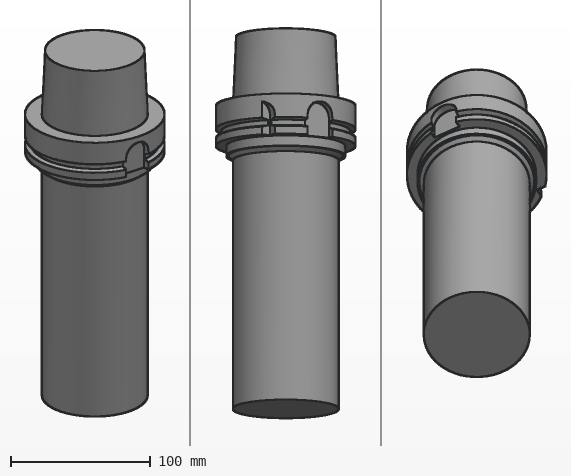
import cadquery as cq

total_height = 270.0
body_radius = 76.0 / 2

shank_length = 50.0
shank_top_radius = 35.6
shank_base_radius = body_radius

flange_radius = 100.0 / 2
flange_height = 29.2
flange_top = total_height - shank_length
flange_bottom = flange_top - flange_height
groove_radius = 46.2
groove_upper_edge = flange_top - 17.0
groove_lower_edge = flange_top - 23.5
groove_side_height = 1.4

collar_radius = 85.0 / 2
collar_height = 7.3
collar_bottom = flange_bottom - collar_height
cone_top_radius = 41.0
cone_height = 3.2

slot_width = 20.2
slot_radius = slot_width / 2
slot_top = flange_top - 4.5
key_slot_floor = 44.0
notch_floor = 32.0
notch_centre_y = 41.5


def make_turned_body():
    """Revolve the half profile of the holder about Z."""
    profile = [
        (0, 0),
        (body_radius, 0),
        (body_radius, collar_bottom - cone_height),
        (cone_top_radius, collar_bottom),
        (collar_radius, collar_bottom),
        (collar_radius, flange_bottom),
        (flange_radius, flange_bottom),
        (flange_radius, groove_lower_edge),
        (groove_radius, groove_lower_edge + groove_side_height),
        (groove_radius, groove_upper_edge - groove_side_height),
        (flange_radius, groove_upper_edge),
        (flange_radius, flange_top),
        (shank_base_radius, flange_top),
        (shank_top_radius, total_height),
        (0, total_height),
    ]
    return cq.Workplane("XZ").polyline(profile).close().revolve(360, (0, 0), (0, 1))


def make_slot_cutter(centre_y, floor):
    """Round-topped cutter on the +X side, from its floor past the flange rim."""
    arch_centre_z = slot_top - slot_radius
    return (
        cq.Workplane("YZ", origin=(floor, 0, 0))
        .moveTo(centre_y - slot_radius, flange_bottom)
        .lineTo(centre_y + slot_radius, flange_bottom)
        .lineTo(centre_y + slot_radius, arch_centre_z)
        .threePointArc((centre_y, slot_top), (centre_y - slot_radius, arch_centre_z))
        .close()
        .extrude(flange_radius)
    )


key_slot = make_slot_cutter(0, key_slot_floor)
opposite_key_slot = key_slot.mirror("YZ")
notch = make_slot_cutter(notch_centre_y, notch_floor).mirror("YZ")

result = make_turned_body().cut(key_slot).cut(opposite_key_slot).cut(notch)